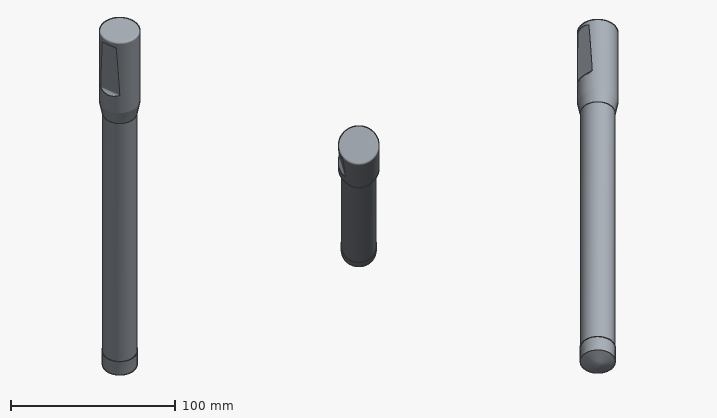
import cadquery as cq

total_length = 271.0
cap_diameter = 25.0
tip_diameter = 21.5
barrel_inset = 0.08

tip_cone_height = 4.0
tip_height = 15.0
cap_bottom = 205.2
cap_taper_top = 215.0
cap_rounding = 1.0

tip_taper = 0.14

flat_bottom = 229.4
flat_top = 267.0
flat_bottom_distance = 10.3
flat_top_distance = 11.5
lower_ramp_drop = 1.5
upper_ramp_rise = 1.0
flat_end_rounding = 1.0

cap_radius = cap_diameter / 2
tip_radius = tip_diameter / 2
barrel_radius = tip_radius - barrel_inset


def revolve_profile(points):
    """Turn a closed (radius, height) outline about the Z axis."""
    return cq.Workplane("XZ").polyline(points).close().revolve(360, (0, 0, 0), (0, 1, 0))


def flat_recess():
    """Wedge across the cap, with a ramp at each end of its sloping flat."""
    outline = [
        (-flat_bottom_distance, flat_bottom),
        (-flat_top_distance, flat_top),
        (-cap_radius, flat_top + upper_ramp_rise),
        (-cap_diameter, flat_top + upper_ramp_rise),
        (-cap_diameter, flat_bottom - lower_ramp_drop),
        (-cap_radius, flat_bottom - lower_ramp_drop),
    ]
    wedge = cq.Workplane("YZ").polyline(outline).close().extrude(cap_radius, both=True)
    lower_end = (0, -flat_bottom_distance, flat_bottom)
    upper_end = (0, -flat_top_distance, flat_top)
    for flat_end in (lower_end, upper_end):
        wedge = wedge.edges(cq.selectors.NearestToPointSelector(flat_end)).fillet(flat_end_rounding)
    return wedge


def make_cap():
    """Cylindrical cap that narrows to the barrel at its lower end."""
    body = revolve_profile([
        (0, cap_bottom),
        (barrel_radius, cap_bottom),
        (cap_radius, cap_taper_top),
        (cap_radius, total_length),
        (0, total_length),
    ])
    body = body.faces(">Z").fillet(cap_rounding)
    return body.cut(flat_recess())


def make_barrel():
    """Plain barrel with a slightly tapered tip sleeve and a conical point."""
    return revolve_profile([
        (0, 0),
        (tip_radius, tip_cone_height),
        (tip_radius + tip_taper, tip_height),
        (barrel_radius, tip_height),
        (barrel_radius, cap_bottom),
        (0, cap_bottom),
    ])


cap = make_cap()
barrel = make_barrel()

result = cq.Compound.makeCompound([cap.val(), barrel.val()])